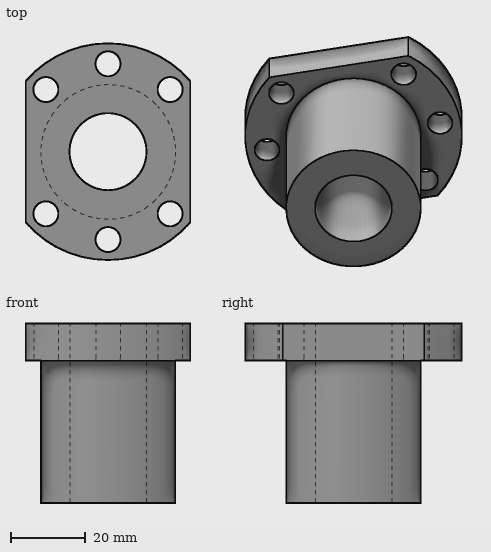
import cadquery as cq

flange_diameter = 58.0
flange_width = 44.0
flange_thickness = 10.0
total_height = 48.0
body_diameter = 36.0
bore_diameter = 20.55
bolt_circle_diameter = 47.0
bolt_hole_diameter = 6.6
bolt_hole_spacing = 45.0

body_height = total_height - flange_thickness


def make_flange():
    """Round flange on top of the body, cut to two flats facing -X and +X."""
    disc = (
        cq.Workplane("XY")
        .workplane(offset=body_height)
        .circle(flange_diameter / 2)
        .extrude(flange_thickness)
    )
    flats = (
        cq.Workplane("XY")
        .workplane(offset=body_height)
        .rect(flange_width, flange_diameter)
        .extrude(flange_thickness)
    )
    return disc.intersect(flats)


def make_bolt_holes():
    """Three through holes at each rounded end, centred on the +Y and -Y directions."""
    holes = cq.Workplane("XY").workplane(offset=body_height)
    for end_angle in (90, -90):
        holes = holes.polarArray(
            bolt_circle_diameter / 2,
            end_angle - bolt_hole_spacing,
            2 * bolt_hole_spacing,
            3,
        ).circle(bolt_hole_diameter / 2).extrude(flange_thickness)
    return holes


body = cq.Workplane("XY").circle(body_diameter / 2).extrude(body_height)
bore = cq.Workplane("XY").circle(bore_diameter / 2).extrude(total_height)

result = body.union(make_flange()).cut(bore).cut(make_bolt_holes())